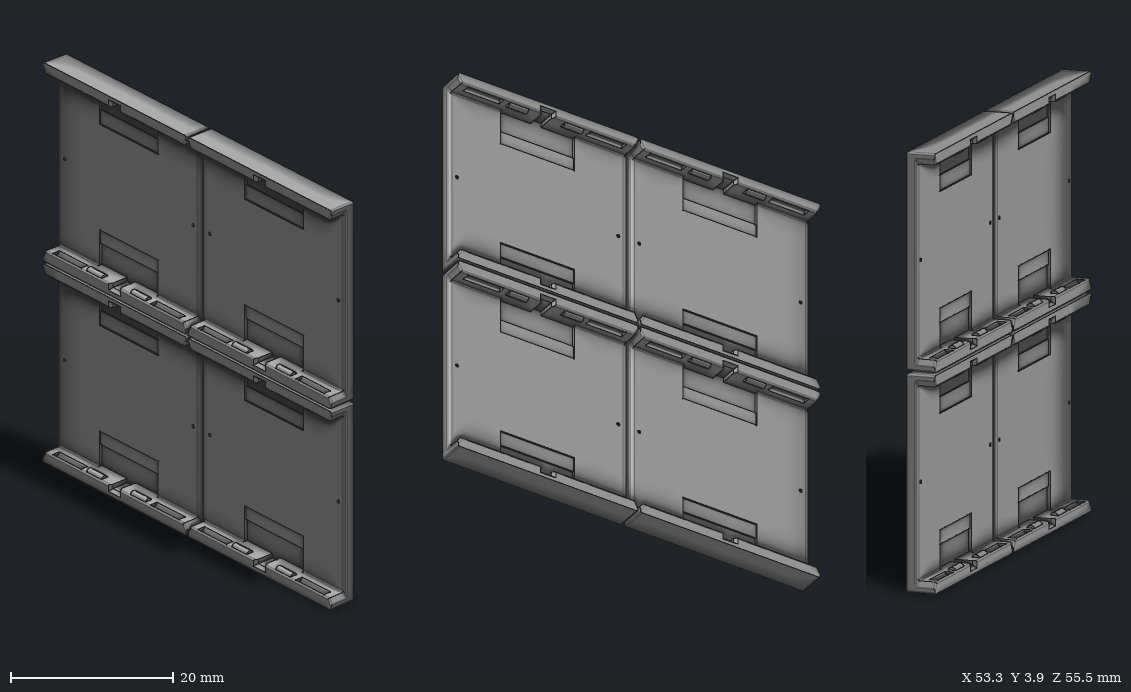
import cadquery as cq
import math

overall_width = 53.3
overall_height = 55.55
depth = 3.9
panel_gap = 0.4
columns = 2
rows = 2

panel_width = (overall_width - panel_gap) / columns
panel_height = (overall_height - panel_gap) / rows
pitch_x = panel_width + panel_gap
pitch_z = panel_height + panel_gap

front_y = -depth / 2
back_y = depth / 2
draft_angle = 0.5
plate_thickness = 1.5
flange_thickness = 1.5
edge_radius = 0.2
side_x = panel_width / 2
top_z = panel_height / 2
plate_front_y = back_y - plate_thickness
flange_inner_z = top_z - flange_thickness

side_round_radius = 1.0
side_round_width = 0.64
side_round_start_x = side_x - side_round_width
side_round_sweep = math.asin(side_round_width / side_round_radius)
side_round_end_y = plate_front_y + side_round_radius * (1 - math.cos(side_round_sweep))

end_land = 0.7
end_slant_angle = 30.0
end_slope = math.tan(math.radians(end_slant_angle))
land_z = top_z - end_land
corner_x = side_x - (land_z - flange_inner_z) * end_slope

notch_width = 1.55
notch_depth = 0.6
notch_flare = 0.35
notch_flare_length = 0.5

snap_radius = 0.55
snap_y = -1.15
ridge_height = 0.36
ridge_start = 2.65
ridge_end = 5.45
groove_depth = 0.5
groove_start = 6.4
groove_end = 11.65

recess_half_width = ridge_end
recess_near_reach = 4.5
recess_far_reach = 6.45
recess_near_depth = 0.45
recess_far_depth = 0.2

pin_hole_diameter = 0.415
pin_hole_depth = 0.2
pin_hole_x = 11.9

overshoot = 0.55
tolerance = 0.01


def box_between(x_range, y_range, z_range):
    """Box spanning the given (low, high) ranges."""
    size = [high - low for low, high in (x_range, y_range, z_range)]
    corner = (x_range[0], y_range[0], z_range[0])
    return cq.Workplane("XY").box(*size, centered=False).translate(corner)


def drafted_block():
    """Full panel envelope, largest at the front, with rounded side and back edges."""
    block = (
        cq.Workplane("XZ", origin=(0, front_y, 0))
        .rect(panel_width, panel_height)
        .extrude(-depth, taper=draft_angle)
    )
    return block.edges("not <Y").fillet(edge_radius)


def opening_outline():
    """Prism along Y with the outline of the opening between the flanges."""
    far_x = side_x + overshoot
    far_z = land_z + overshoot / end_slope
    corners = [
        (-corner_x, flange_inner_z),
        (corner_x, flange_inner_z),
        (far_x, far_z),
        (far_x, -far_z),
        (corner_x, -flange_inner_z),
        (-corner_x, -flange_inner_z),
        (-far_x, -far_z),
        (-far_x, far_z),
    ]
    return (
        cq.Workplane("XZ", origin=(0, back_y, 0))
        .polyline(corners)
        .close()
        .extrude(depth + overshoot)
    )


def space_before_plate():
    """Everything in front of the plate, whose front side edges are rounded."""

    def round_point(side, angle):
        x = side_round_start_x + side_round_radius * math.sin(angle)
        y = plate_front_y + side_round_radius * (1 - math.cos(angle))
        return side * x, y

    far_x = side_x + 2 * overshoot
    far_y = front_y - overshoot
    return (
        cq.Workplane("XY", origin=(0, 0, -top_z))
        .moveTo(-far_x, far_y)
        .lineTo(-far_x, side_round_end_y)
        .lineTo(*round_point(-1, side_round_sweep))
        .threePointArc(round_point(-1, side_round_sweep / 2), round_point(-1, 0))
        .lineTo(*round_point(1, 0))
        .threePointArc(round_point(1, side_round_sweep / 2), round_point(1, side_round_sweep))
        .lineTo(far_x, side_round_end_y)
        .lineTo(far_x, far_y)
        .close()
        .extrude(panel_height)
    )


def opening_edges(panel):
    """Sharp edges of the front opening: its rim, its land edges and its root on the plate."""

    def is_sharp_opening_edge(edge):
        centre = edge.Center()
        x, z = abs(centre.x), abs(centre.z)
        in_opening = z < land_z + tolerance and centre.y < side_round_end_y + tolerance
        end_corner = abs(x - corner_x) < tolerance and abs(z - flange_inner_z) < tolerance
        round_start = abs(x - side_round_start_x) < tolerance and z < tolerance
        return in_opening and not end_corner and not round_start

    return panel.newObject([edge for edge in panel.edges().vals() if is_sharp_opening_edge(edge)])


def open_panel():
    """Plate with its two flanges and softened edges, before the details are added."""
    panel = drafted_block().cut(opening_outline().intersect(space_before_plate()))
    return opening_edges(panel).fillet(edge_radius)


def notch():
    """Notch through the inner face of the top flange, flared at the front."""
    half_width = notch_width / 2
    base_z = flange_inner_z - overshoot
    slot = box_between(
        (-half_width, half_width),
        (front_y, plate_front_y + recess_near_depth),
        (base_z, flange_inner_z + notch_depth),
    )
    narrow_height = notch_depth + overshoot
    flare = (
        cq.Workplane("XZ", origin=(0, front_y + notch_flare_length, base_z))
        .center(0, narrow_height / 2)
        .rect(notch_width, narrow_height)
        .workplane(offset=notch_flare_length)
        .center(0, notch_flare / 2)
        .rect(notch_width + 2 * notch_flare, narrow_height + notch_flare)
        .loft(ruled=True)
    )
    return slot.union(flare)


def snap_rod(start, end, centre_z):
    """Rod along X near the front of the top flange."""
    return (
        cq.Workplane("YZ", origin=(start, snap_y, centre_z)).circle(snap_radius).extrude(end - start)
    )


def plate_recess():
    """Two-step recess in the plate below the top flange."""
    x_range = (-recess_half_width, recess_half_width)
    start_y = plate_front_y - edge_radius
    step_z = top_z - recess_near_reach
    end_z = top_z - recess_far_reach
    near = box_between(x_range, (start_y, plate_front_y + recess_near_depth), (step_z, flange_inner_z))
    far = box_between(x_range, (start_y, plate_front_y + recess_far_depth), (end_z, step_z))
    return near.union(far)


def pin_holes():
    """Pair of blind holes at mid height."""
    return (
        cq.Workplane("XZ", origin=(0, plate_front_y, 0))
        .pushPoints([(-pin_hole_x, 0), (pin_hole_x, 0)])
        .circle(pin_hole_diameter / 2)
        .extrude(-pin_hole_depth)
    )


def on_both_flanges(shape):
    """The shape together with its mirror image at the bottom flange."""
    return shape.union(shape.mirror("XY"))


def make_panel():
    """One complete panel centred on the origin."""
    panel = open_panel().cut(on_both_flanges(plate_recess())).cut(pin_holes())
    ridge_z = flange_inner_z - ridge_height + snap_radius
    groove_z = flange_inner_z + groove_depth - snap_radius
    ridge = snap_rod(ridge_start, ridge_end, ridge_z)
    groove = snap_rod(groove_start, groove_end, groove_z)
    for left_or_right in (ridge, ridge.mirror("YZ")):
        panel = panel.union(on_both_flanges(left_or_right))
    for left_or_right in (groove, groove.mirror("YZ")):
        panel = panel.cut(on_both_flanges(left_or_right))
    return panel.cut(on_both_flanges(notch()))


panel = make_panel()
panels = []
for column in range(columns):
    for row in range(rows):
        x = (column - (columns - 1) / 2) * pitch_x
        z = (row - (rows - 1) / 2) * pitch_z
        panels.append(panel.translate((x, 0, z)).val())
result = cq.Compound.makeCompound(panels)